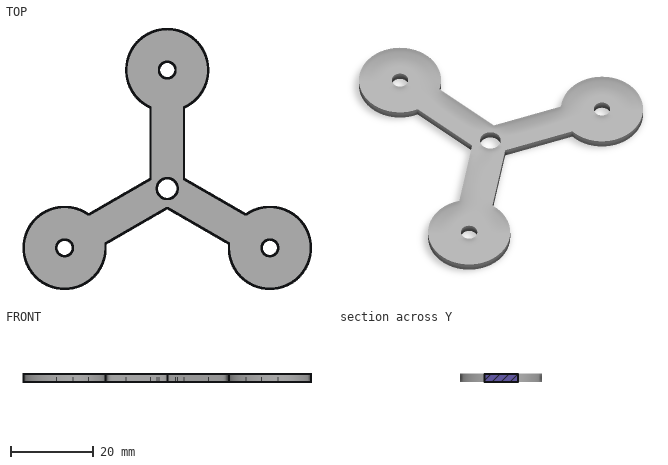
import cadquery as cq
import math

overall_width = 69.9
thickness = 2.0
pad_diameter = 20.0
pad_hole_diameter = 4.0
hub_hole_diameter = 5.0
arm_width = 8.2
arm_angles = (90, 210, 330)

arm_length = (overall_width - pad_diameter) / math.sqrt(3)


def pad_center(angle):
    """Center of the pad at the end of the arm pointing along angle."""
    direction = math.radians(angle)
    return (arm_length * math.cos(direction), arm_length * math.sin(direction))


def plate_disc(diameter, centers):
    """Full-thickness cylinders at the given centers."""
    return cq.Workplane("XY").pushPoints(centers).circle(diameter / 2).extrude(thickness)


def arm(angle):
    """Straight arm from the hub center to a pad center."""
    bar = cq.Workplane("XY").box(arm_length, arm_width, thickness, centered=(False, True, False))
    return bar.rotate((0, 0, 0), (0, 0, 1), angle)


pad_centers = [pad_center(angle) for angle in arm_angles]

body = plate_disc(pad_diameter, pad_centers)
for arm_angle in arm_angles:
    body = body.union(arm(arm_angle))

body = body.cut(plate_disc(pad_hole_diameter, pad_centers))
result = body.cut(plate_disc(hub_hole_diameter, [(0, 0)]))